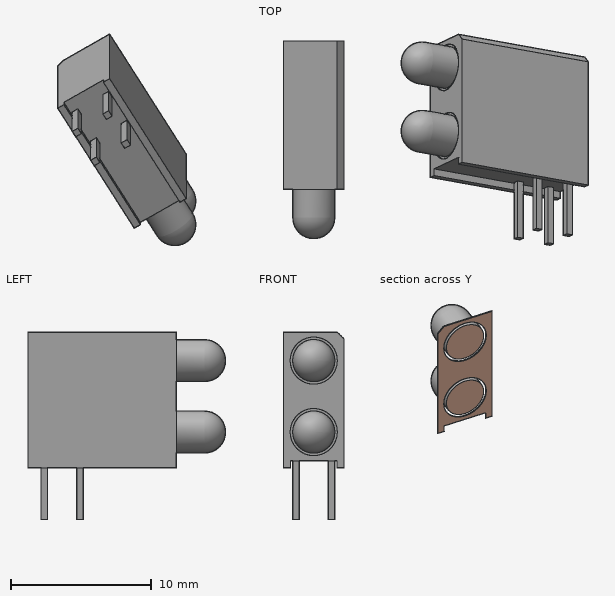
import cadquery as cq
import math

housing_width = 4.318
housing_depth = 10.55
housing_height = 9.65
corner_chamfer = 0.49

foot_width = 0.52
foot_height = 0.5

led_diameter = 3.0
led_protrusion = 3.51
led_pitch = 5.08
upper_led_drop = 2.03
bore_diameter = 3.35
bore_depth = 0.1

lead_size = 0.48
lead_pitch = 2.54
overall_height = 13.33
rear_row_inset = 1.17

led_radius = led_diameter / 2
upper_led_z = housing_height - upper_led_drop
led_heights = [upper_led_z, upper_led_z - led_pitch]
lead_tip_z = housing_height - overall_height
rear_row_y = housing_depth - rear_row_inset
lead_positions = [
    (side * lead_pitch / 2, row_y)
    for side in (-1, 1)
    for row_y in (rear_row_y, rear_row_y - lead_pitch)
]


def make_housing():
    """Block with one chamfered top edge and a relief channel underneath."""
    block = cq.Workplane("XY").box(
        housing_width, housing_depth, housing_height, centered=(True, False, False)
    )
    block = block.edges(">X and >Z").chamfer(corner_chamfer)
    channel = cq.Workplane("XY").box(
        housing_width - 2 * foot_width, housing_depth, foot_height, centered=(True, False, False)
    )
    return block.cut(channel)


def make_bore(height):
    """Clearance bore around an LED, sunk into the front face."""
    return (
        cq.Workplane("XZ", origin=(0, bore_depth, height))
        .circle(bore_diameter / 2)
        .extrude(bore_depth)
    )


def make_led(height):
    """Round LED body seated on the bore floor, with a hemispherical tip."""
    barrel_length = led_protrusion - led_radius
    arc_offset = led_radius * math.sqrt(0.5)
    half_profile = (
        cq.Workplane("XY", origin=(0, 0, height))
        .moveTo(0, bore_depth)
        .lineTo(led_radius, bore_depth)
        .lineTo(led_radius, -barrel_length)
        .threePointArc((arc_offset, -barrel_length - arc_offset), (0, -led_protrusion))
        .close()
    )
    return half_profile.revolve(360, (0, 0), (0, 1))


def make_leads():
    """Leads hanging from the channel ceiling."""
    return (
        cq.Workplane("XY", origin=(0, 0, lead_tip_z))
        .pushPoints(lead_positions)
        .rect(lead_size, lead_size)
        .extrude(foot_height - lead_tip_z)
    )


result = make_housing()
for led_height in led_heights:
    result = result.cut(make_bore(led_height)).union(make_led(led_height))
result = result.union(make_leads())